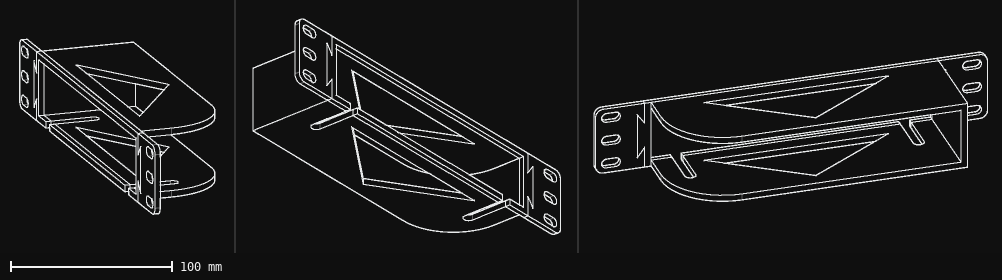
import cadquery as cq

panel_width = 254.0
panel_height = 44.5
panel_thickness = 3.5
body_width = 190.5
wall = 4.25
tray_depth = 60.0
tray_corner_radius = 40.0

window_width = 119.5
window_margin = 10.0

slot_width = 7.0
slot_center_x = 74.0
slot_depth = 33.5

dovetail_depth = 4.75
dovetail_neck_height = 17.0
dovetail_tip_height = 30.0

ear_corner_radius = 5.0
mount_slot_length = 12.0
mount_slot_height = 6.0
mount_slot_pitch = 15.875
mount_slot_edge_distance = 10.0

body_half = body_width / 2
half_height = panel_height / 2
opening_width = body_width - 2 * wall
opening_height = panel_height - 2 * wall
panel_back = panel_thickness
tray_back = panel_back + tray_depth
tray_right = body_half - wall
ear_width = (panel_width - body_width) / 2
sill_width = 2 * slot_center_x - slot_width
rail_center_z = (wall - panel_height) / 2


def front_block(width, height, center_x=0.0, center_z=0.0):
    """Rectangular block as thick as the panel, standing on the front face."""
    return (
        cq.Workplane("XY")
        .box(width, panel_thickness, height)
        .translate((center_x, panel_thickness / 2, center_z))
    )


def dovetail_tongue(side):
    """Tongue that widens outwards from the frame edge; side is -1 or 1."""
    neck_x = side * body_half
    tip_x = side * (body_half + dovetail_depth)
    neck_z = dovetail_neck_height / 2
    tip_z = dovetail_tip_height / 2
    return (
        cq.Workplane("XZ")
        .polyline([(neck_x, -neck_z), (tip_x, -tip_z), (tip_x, tip_z), (neck_x, neck_z)])
        .close()
        .extrude(-panel_thickness)
    )


def cable_slot(side):
    """Round-ended slot through the floor, running back from the front face."""
    end_center_y = slot_depth - slot_width / 2
    channel = (
        cq.Workplane("XY")
        .box(slot_width, end_center_y, wall, centered=(True, False, False))
    )
    round_end = (
        cq.Workplane("XY")
        .center(0, end_center_y)
        .circle(slot_width / 2)
        .extrude(wall)
    )
    return channel.union(round_end).translate((side * slot_center_x, 0, -half_height))


def make_frame():
    """Front frame: open rectangle with a dovetail at each end and a gap for the sill."""
    frame = front_block(body_width, panel_height)
    frame = frame.cut(front_block(opening_width, opening_height))
    for side in (-1, 1):
        frame = frame.union(dovetail_tongue(side))
    gap_width = sill_width + 2 * slot_width
    return frame.cut(front_block(gap_width, wall, center_z=rail_center_z))


def make_sill():
    """Loose length of the bottom rail between the two cable slots."""
    return front_block(sill_width, wall, center_z=rail_center_z)


def make_ear(side):
    """Mounting ear with rounded outer corners, three slots and a dovetail socket."""
    center_x = side * (panel_width - ear_width) / 2
    slot_x = side * (panel_width / 2 - mount_slot_edge_distance)
    outer_edges = "|Y and >X" if side > 0 else "|Y and <X"
    ear = front_block(ear_width, panel_height, center_x).edges(outer_edges).fillet(ear_corner_radius)
    slots = (
        cq.Workplane("XZ")
        .center(slot_x, 0)
        .rarray(1, mount_slot_pitch, 1, 3)
        .slot2D(mount_slot_length, mount_slot_height)
        .extrude(-panel_thickness)
    )
    return ear.cut(slots).cut(dovetail_tongue(side))


def make_tray():
    """Tray: roof and floor joined by one side wall, open at the back and at +X."""
    tray = (
        cq.Workplane("XY", origin=(0, 0, -half_height))
        .moveTo(-body_half, panel_back)
        .lineTo(tray_right, panel_back)
        .lineTo(tray_right, tray_back - tray_corner_radius)
        .radiusArc((tray_right - tray_corner_radius, tray_back), -tray_corner_radius)
        .lineTo(-body_half, tray_back)
        .close()
        .extrude(panel_height)
    )
    cavity = (
        cq.Workplane("XY")
        .box(body_width, tray_depth, opening_height, centered=(False, False, True))
        .translate((wall - body_half, panel_back, 0))
    )
    window_front = panel_back + window_margin
    window = (
        cq.Workplane("XY", origin=(0, 0, -half_height))
        .moveTo(-window_width / 2, window_front)
        .lineTo(window_width / 2, window_front)
        .lineTo(0, tray_back - window_margin)
        .close()
        .extrude(panel_height)
    )
    tray = tray.cut(cavity).cut(window)
    for side in (-1, 1):
        tray = tray.cut(cable_slot(side))
    return tray


frame = make_frame()
sill = make_sill()
tray = make_tray()
ears = [make_ear(side) for side in (-1, 1)]

result = cq.Compound.makeCompound(
    [frame.val(), sill.val(), tray.val(), *[ear.val() for ear in ears]]
)